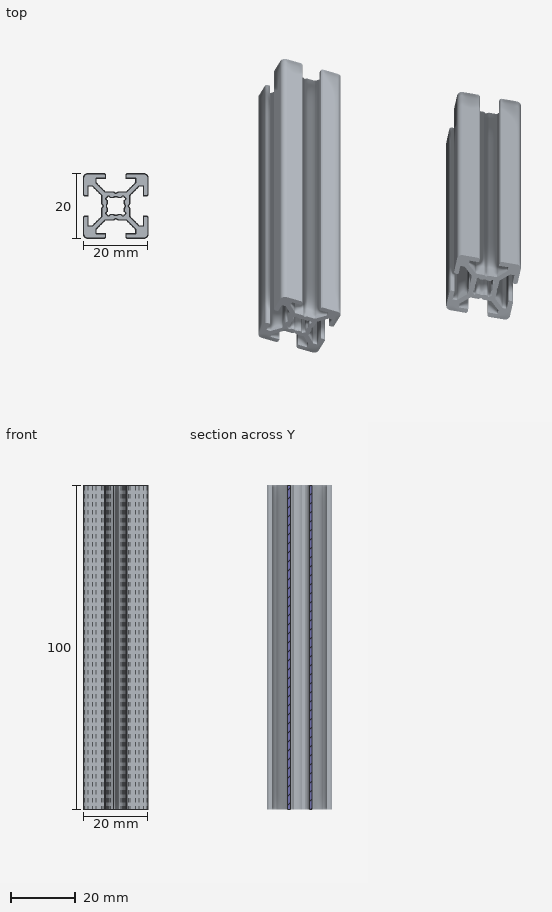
import cadquery as cq
import math

LENGTH = 100.0
SIDE = 20.0
HALF = SIDE / 2
CORNER_RADIUS = 1.5

LIP_THICKNESS = 1.5
MOUTH_HALF_WIDTH = 3.1
MOUTH_CHAMFER = 0.4
SLOT_HALF_WIDTH = 6.1
SLOT_TOP = HALF - LIP_THICKNESS

CORE_HALF = 4.35
WEB_THICKNESS = 1.5
WEB_OFFSET = WEB_THICKNESS / math.sqrt(2)
NOTCH_HALF_WIDTH = 0.75
NOTCH_DEPTH = 0.45

BORE_HALF = 2.6
POCKET_REACH = 3.05
POCKET_START = 1.65
POCKET_CHAMFER = 0.7
GROOVE_HALF_WIDTH = 0.75
GROOVE_DEPTH = 0.25


def prism(points):
    """Full-length prism over a closed polygon."""
    return cq.Workplane("XY").polyline(points).close().extrude(LENGTH)


def t_slot():
    """Cutter for the +Y slot, with its chamfered mouth and notched floor."""
    right_half = [
        (MOUTH_HALF_WIDTH + MOUTH_CHAMFER, HALF),
        (MOUTH_HALF_WIDTH, HALF - MOUTH_CHAMFER),
        (MOUTH_HALF_WIDTH, SLOT_TOP),
        (SLOT_HALF_WIDTH, SLOT_TOP),
        (SLOT_HALF_WIDTH, SLOT_HALF_WIDTH + WEB_OFFSET),
        (CORE_HALF - WEB_OFFSET, CORE_HALF),
        (NOTCH_HALF_WIDTH, CORE_HALF),
    ]
    notch_tip = (0, CORE_HALF - NOTCH_DEPTH)
    left_half = [(-x, y) for x, y in reversed(right_half)]
    return prism(right_half + [notch_tip] + left_half)


def wall_groove():
    """Cutter for the round-bottomed groove in the +Y wall of the bore."""
    return (
        cq.Workplane("XY")
        .moveTo(-GROOVE_HALF_WIDTH, BORE_HALF)
        .threePointArc((0, BORE_HALF + GROOVE_DEPTH), (GROOVE_HALF_WIDTH, BORE_HALF))
        .lineTo(0, 0)
        .close()
        .extrude(LENGTH)
    )


def corner_pocket():
    """Cutter for the chamfered pocket in the (+X, +Y) corner of the bore."""
    step = POCKET_REACH - BORE_HALF
    chamfer_start = POCKET_REACH - POCKET_CHAMFER
    lower_half = [
        (BORE_HALF, POCKET_START),
        (POCKET_REACH, POCKET_START + step),
        (POCKET_REACH, chamfer_start),
    ]
    upper_half = [(y, x) for x, y in reversed(lower_half)]
    return prism([(0, 0)] + lower_half + upper_half)


bar = cq.Workplane("XY").rect(SIDE, SIDE).extrude(LENGTH)
bar = bar.edges("|Z").fillet(CORNER_RADIUS)
bar = bar.cut(cq.Workplane("XY").rect(2 * BORE_HALF, 2 * BORE_HALF).extrude(LENGTH))
for angle in (0, 90, 180, 270):
    for cutter in (t_slot(), corner_pocket(), wall_groove()):
        bar = bar.cut(cutter.rotate((0, 0, 0), (0, 0, 1), angle))

result = bar